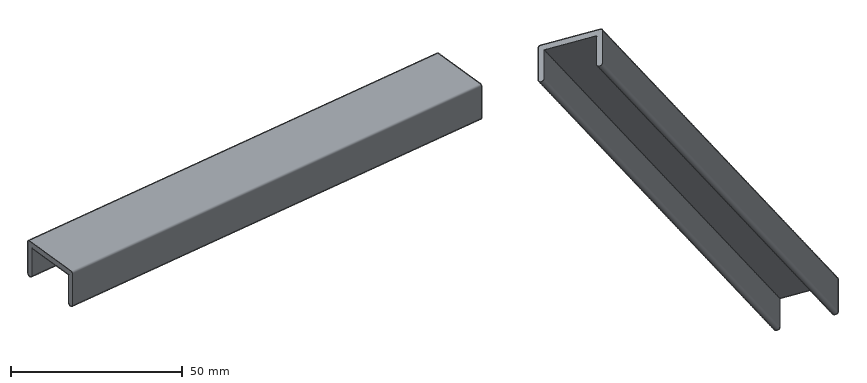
import cadquery as cq

length = 152.4
width = 21.0
height = 12.6
wall = 2.0
top_edge_radius = 0.8
leg_tip_radius = 0.9

outer = cq.Workplane("XY").box(width, length, height)
outer = outer.edges("|Y and >Z").fillet(top_edge_radius)

cavity = (
    cq.Workplane("XY")
    .box(width - 2 * wall, length, height)
    .translate((0, 0, -wall))
)
channel = outer.cut(cavity)

result = channel.faces("<Z").edges("|Y").fillet(leg_tip_radius)